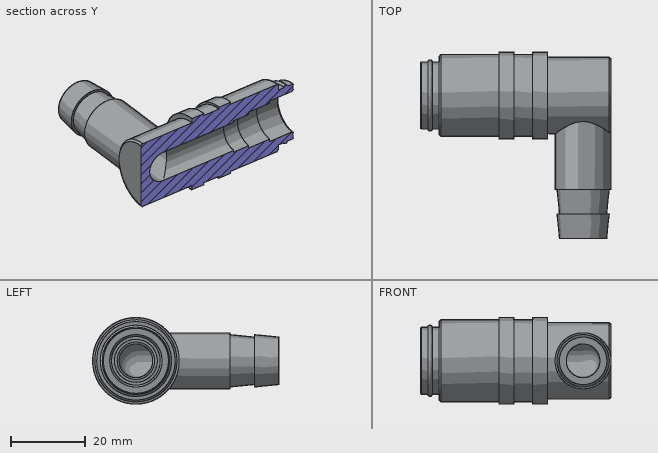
import cadquery as cq

total_length = 51.0
neck_diameter = 18.0
neck_length = 5.0
neck_chamfer = 0.3
sleeve_diameter = 22.0
sleeve_end = 34.0
body_chamfer = 0.5
rear_diameter = 20.5

band_diameter = 23.2
first_band_start = 21.0
first_band_end = 25.0
second_band_start = 30.0

ring_position = 2.6
ring_thickness = 1.2
ring_centre_diameter = 17.85

branch_diameter = 15.0
branch_length = 25.1
branch_axis_x = total_length - branch_diameter / 2
barb_large_diameter = 14.0
barb_small_diameter = 12.7
barb_length = 6.6
barb_count = 2

bore_diameter = 9.0
shoulder_diameter = 10.0
seat_diameter = 11.5
socket_diameter = 13.0
mouth_diameter = 14.0
mouth_depth = (mouth_diameter - socket_diameter) / 2
socket_depth = 8.0
seat_depth = 15.0
shoulder_depth = 20.0


def cylinder_x(diameter, start, end):
    """Cylinder on the X axis between two X positions."""
    return cq.Workplane("YZ", origin=(start, 0, 0)).circle(diameter / 2).extrude(end - start)


def branch_cone(start_diameter, end_diameter, start, length):
    """Cone or cylinder on the branch axis, starting at a distance from the body axis."""
    solid = cq.Solid.makeCone(
        start_diameter / 2,
        end_diameter / 2,
        length,
        cq.Vector(branch_axis_x, -start, 0),
        cq.Vector(0, -1, 0),
    )
    return cq.Workplane(solid)


def branch_cylinder(diameter, length):
    """Cylinder on the branch axis, starting at the body axis."""
    plane = cq.Workplane("XZ", origin=(branch_axis_x, 0, 0))
    return plane.circle(diameter / 2).extrude(length)


def make_ring():
    """Ring with a rounded outer edge, made by turning a half disc about the X axis."""
    centre_radius = ring_centre_diameter / 2
    half_thickness = ring_thickness / 2
    profile = (
        cq.Workplane("XY")
        .moveTo(ring_position - half_thickness, centre_radius)
        .threePointArc(
            (ring_position, centre_radius + half_thickness),
            (ring_position + half_thickness, centre_radius),
        )
        .close()
    )
    return profile.revolve(360, (0, 0, 0), (1, 0, 0))


def make_body():
    neck = cylinder_x(neck_diameter, 0, neck_length).faces("<X").chamfer(neck_chamfer)
    sleeve = cylinder_x(sleeve_diameter, neck_length, sleeve_end).faces("<X").chamfer(body_chamfer)
    rear = cylinder_x(rear_diameter, sleeve_end, total_length).faces(">X").chamfer(body_chamfer)
    first_band = cylinder_x(band_diameter, first_band_start, first_band_end)
    second_band = cylinder_x(band_diameter, second_band_start, sleeve_end)
    ring = make_ring()
    body = neck.union(sleeve).union(rear)
    return body.union(first_band).union(second_band).union(ring)


def make_branch():
    branch = branch_cylinder(branch_diameter, branch_length)
    for index in range(barb_count):
        start = branch_length + index * barb_length
        branch = branch.union(branch_cone(barb_large_diameter, barb_small_diameter, start, barb_length))
    return branch


def make_bore():
    """Stepped bore from the mouth, turned into the branch by a spherical elbow."""
    bore = cylinder_x(bore_diameter, 0, branch_axis_x)
    steps = [
        (shoulder_diameter, shoulder_depth),
        (seat_diameter, seat_depth),
        (socket_diameter, socket_depth),
    ]
    for diameter, depth in steps:
        bore = bore.union(cylinder_x(diameter, 0, depth))
    mouth = cq.Workplane(
        cq.Solid.makeCone(
            mouth_diameter / 2,
            socket_diameter / 2,
            mouth_depth,
            cq.Vector(0, 0, 0),
            cq.Vector(1, 0, 0),
        )
    )
    elbow = cq.Workplane("XY", origin=(branch_axis_x, 0, 0)).sphere(bore_diameter / 2)
    hose_bore = branch_cylinder(bore_diameter, branch_length + barb_count * barb_length)
    return bore.union(mouth).union(elbow).union(hose_bore)


result = make_body().union(make_branch()).cut(make_bore())